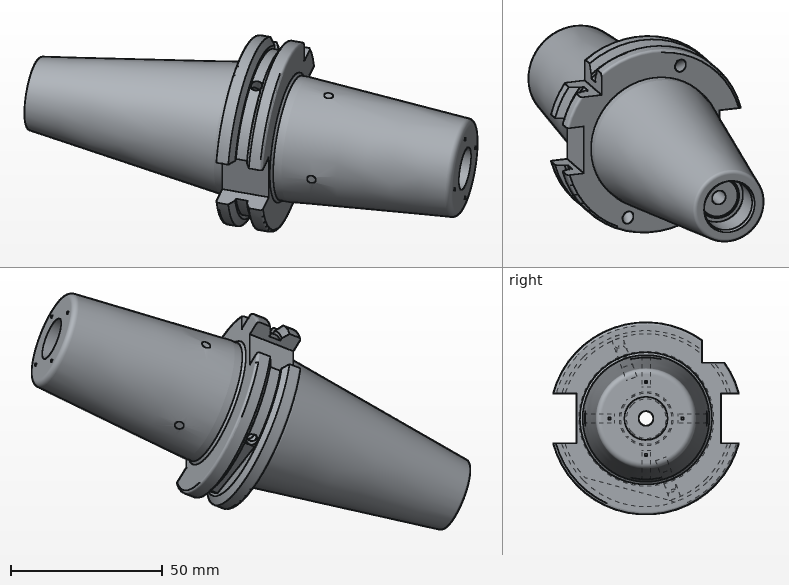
import cadquery as cq
import math


gauge_x = 68.4
gauge_radius = 22.3
taper_ratio = 7 / 24
shank_end_radius = gauge_radius - gauge_x * taper_ratio / 2
shank_end_fillet = 1.2

flange_start = 71.5
flange_width = 16.0
flange_end = flange_start + flange_width
flange_radius = 31.8
flange_fillet = 0.9
groove_x = 79.4
groove_floor_radius = 28.0
groove_floor_width = 4.0
groove_wall_radius = 29.1
groove_wall_angle = 30
floor_flat_radius = 24.0
floor_flat_angle = 165

slot_width = 16.3
front_slot_floor = 23.0
back_slot_floor = 24.8
notch_y = 18.5
notch_z = 18.4

neck_radius = 20.9
neck_chamfer = 0.9
neck_end = 91.3
nose_end = 148.3
nose_half_angle = 4.5
nose_fillet = 2.0
nose_radius = neck_radius - (nose_end - neck_end) * math.tan(math.radians(nose_half_angle))

bore_radius = 7.1
mouth_radius = 8.5
mouth_flare = 0.5
mouth_flare_length = 1.2
mouth_depth = 10.0
screw_start = mouth_depth
screw_length = 14.8
screw_chamfer = 0.6
screw_hole_radius = 2.4

plug_count = 4
plug_x = 101.4
plug_head_diameter = 3.0
plug_stem_diameter = 0.9
plug_stem_radius = 12.0
plug_stem_end = 148.4
plug_head_bottom = plug_stem_radius - plug_head_diameter / 2

passage_angles = (20, 200)
passage_mouth_radius = 27.0
passage_diameter = 3.7
passage_tilt = 30
passage_length = (groove_x - flange_start) / math.cos(math.radians(passage_tilt))
cross_hole_diameter = 3.7
cross_hole_bottom = 14.1
set_screw_length = 4.5


def turned_about_x(body, angle):
    """Turn a body about the spindle axis, from +Z toward -Y."""
    return body.rotate((0, 0, 0), (1, 0, 0), angle)


def axial_rod(x_start, x_end, radius, z=0):
    """Cylinder parallel to the spindle axis, at height z."""
    return cq.Workplane("YZ", origin=(x_start, 0, z)).circle(radius).extrude(x_end - x_start)


def radial_rod(x, bottom, top, diameter):
    """Cylinder pointing along +Z, between two distances from the spindle axis."""
    return cq.Workplane("XY", origin=(x, 0, bottom)).circle(diameter / 2).extrude(top - bottom)


def flange_block(y_start, y_end, z_start, z_end):
    """Box over the full width of the flange."""
    block = cq.Workplane("XY").box(flange_width, y_end - y_start, z_end - z_start, centered=False)
    return block.translate((flange_start, y_start, z_start))


def shank_and_nose():
    """Solid core: taper, neck and nose, with rounded ends."""
    outline = [
        (0, 0),
        (0, shank_end_radius),
        (gauge_x, gauge_radius),
        (flange_end, gauge_radius),
        (flange_end, neck_radius + neck_chamfer),
        (flange_end + neck_chamfer, neck_radius),
        (neck_end, neck_radius),
        (nose_end, nose_radius),
        (nose_end, 0),
    ]
    core = cq.Workplane("XZ").polyline(outline).close().revolve(360, (0, 0, 0), (1, 0, 0))
    core = core.faces("<X").edges().fillet(shank_end_fillet)
    return core.faces(">X").edges().fillet(nose_fillet)


def gripper_groove():
    """Ring with a flat floor, short upright walls and flared sides."""
    half_floor = groove_floor_width / 2
    flare = (flange_radius - groove_wall_radius) * math.tan(math.radians(groove_wall_angle))
    half_rim = half_floor + flare
    outline = [
        (groove_x - half_rim, flange_radius),
        (groove_x - half_floor, groove_wall_radius),
        (groove_x - half_floor, groove_floor_radius),
        (groove_x + half_floor, groove_floor_radius),
        (groove_x + half_floor, groove_wall_radius),
        (groove_x + half_rim, flange_radius),
    ]
    return cq.Workplane("XZ").polyline(outline).close().revolve(360, (0, 0, 0), (1, 0, 0))


def groove_floor_flat():
    """Cutter for a flat facing outward across part of the groove floor."""
    flat_height = groove_floor_radius - floor_flat_radius
    cutter = cq.Workplane("XY").box(groove_floor_width, 2 * groove_floor_radius, flat_height)
    cutter = cutter.translate((groove_x, 0, floor_flat_radius + flat_height / 2))
    return turned_about_x(cutter, floor_flat_angle)


def flange():
    """Grooved disc with rounded rims, a flat in the groove, two drive slots and a corner notch."""
    disc = axial_rod(flange_start, flange_end, flange_radius).edges().fillet(flange_fillet)
    disc = disc.cut(gripper_groove()).cut(groove_floor_flat())
    half_slot = slot_width / 2
    disc = disc.cut(flange_block(-flange_radius, -front_slot_floor, -half_slot, half_slot))
    disc = disc.cut(flange_block(back_slot_floor, flange_radius, -half_slot, half_slot))
    return disc.cut(flange_block(notch_y, flange_radius, notch_z, flange_radius))


def central_bore():
    """Stop-screw bore right through the holder, wider at the shank mouth."""
    bore = axial_rod(0, nose_end, bore_radius)
    mouth = axial_rod(0, mouth_depth, mouth_radius)
    flare = cq.Workplane("YZ").circle(mouth_radius + mouth_flare)
    flare = flare.workplane(offset=mouth_flare_length).circle(mouth_radius).loft(ruled=True)
    return bore.union(mouth).union(flare)


def coolant_plug(angle):
    """Plug whose head ends flush with the nose cone; the stem stands just proud of the nose."""
    head = radial_rod(plug_x, plug_head_bottom, neck_radius, plug_head_diameter)
    head = head.intersect(shank_and_nose())
    stem = axial_rod(plug_x, plug_stem_end, plug_stem_diameter / 2, plug_stem_radius)
    return turned_about_x(head.union(stem), angle)


def flange_passage(angle):
    """Hole slanting inward from the flange face to meet a radial hole in the groove."""
    slanted = axial_rod(-passage_length, passage_length, passage_diameter / 2)
    slanted = slanted.rotate((0, 0, 0), (0, 1, 0), passage_tilt)
    slanted = slanted.translate((flange_start, 0, passage_mouth_radius))
    cross_hole = radial_rod(groove_x, cross_hole_bottom, groove_wall_radius, cross_hole_diameter)
    return turned_about_x(slanted.union(cross_hole), angle)


def set_screw(angle):
    """Screw seated at the bottom of a flange cross hole."""
    screw_top = cross_hole_bottom + set_screw_length
    screw = radial_rod(groove_x, cross_hole_bottom, screw_top, cross_hole_diameter)
    return turned_about_x(screw, angle)


def stop_screw():
    """Length-stop screw with a chamfered end and a coolant hole through it."""
    screw = axial_rod(screw_start, screw_start + screw_length, bore_radius)
    screw = screw.faces("<X").edges().chamfer(screw_chamfer)
    return screw.faces("<X").workplane().circle(screw_hole_radius).cutThruAll()


def holder(plugs):
    """Main body, with recesses that match the plugs and screws."""
    body = shank_and_nose().union(flange()).cut(central_bore())
    for angle in passage_angles:
        body = body.cut(flange_passage(angle))
    for plug in plugs:
        body = body.cut(plug)
    return body


coolant_plugs = [coolant_plug(360 / plug_count * i) for i in range(plug_count)]
set_screws = [set_screw(angle) for angle in passage_angles]
tool_holder = holder(coolant_plugs)

result = cq.Compound.makeCompound([
    tool_holder.val(),
    stop_screw().val(),
    *[plug.val() for plug in coolant_plugs],
    *[screw.val() for screw in set_screws],
])